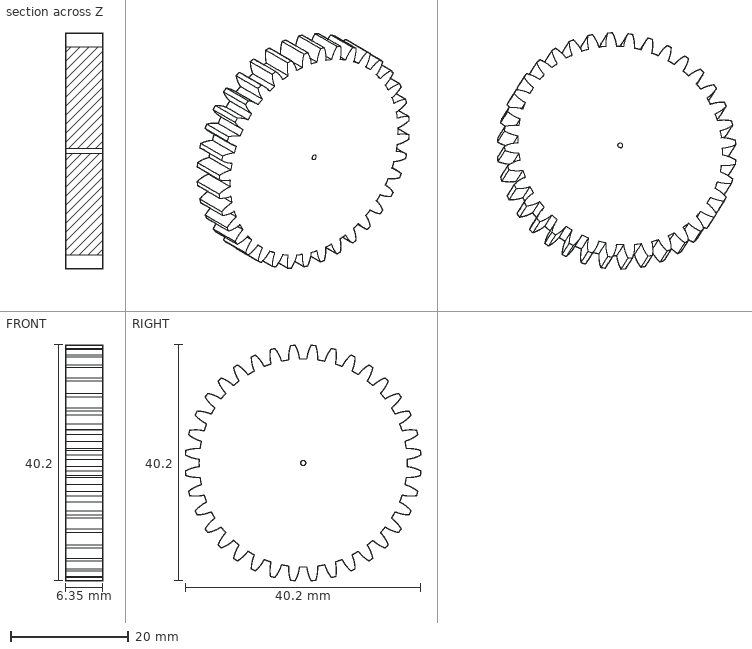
import cadquery as cq
import math

tooth_count = 36
overall_height = 40.15
face_width = 6.35
root_radius = 17.75
bore_diameter = 0.85

root_thickness = 1.9
middle_thickness = 1.52
tip_thickness = 0.8
middle_radius = 19.05

tooth_pitch = 2 * math.pi / tooth_count
tip_half_angle = tip_thickness / overall_height
tip_radius = overall_height / 2 / math.cos(tooth_pitch / 2 - tip_half_angle)

root_half_angle = root_thickness / (2 * root_radius)
middle_half_angle = middle_thickness / (2 * middle_radius)


def polar(radius, angle):
    return (radius * math.cos(angle), radius * math.sin(angle))


def add_tooth(outline, centre):
    """Continue the outline over one tooth and along the root to the start of the next tooth."""
    outline = outline.threePointArc(
        polar(middle_radius, centre - middle_half_angle),
        polar(tip_radius, centre - tip_half_angle),
    )
    outline = outline.threePointArc(
        polar(tip_radius, centre),
        polar(tip_radius, centre + tip_half_angle),
    )
    outline = outline.threePointArc(
        polar(middle_radius, centre + middle_half_angle),
        polar(root_radius, centre + root_half_angle),
    )
    return outline.threePointArc(
        polar(root_radius, centre + tooth_pitch / 2),
        polar(root_radius, centre + tooth_pitch - root_half_angle),
    )


def toothed_disc():
    first_centre = tooth_pitch / 2
    outline = cq.Workplane("YZ", origin=(-face_width / 2, 0, 0))
    outline = outline.moveTo(*polar(root_radius, first_centre - root_half_angle))
    for tooth in range(tooth_count):
        outline = add_tooth(outline, first_centre + tooth * tooth_pitch)
    return outline.close().extrude(face_width)


result = toothed_disc().faces(">X").workplane(origin=(0, 0, 0)).hole(bore_diameter)